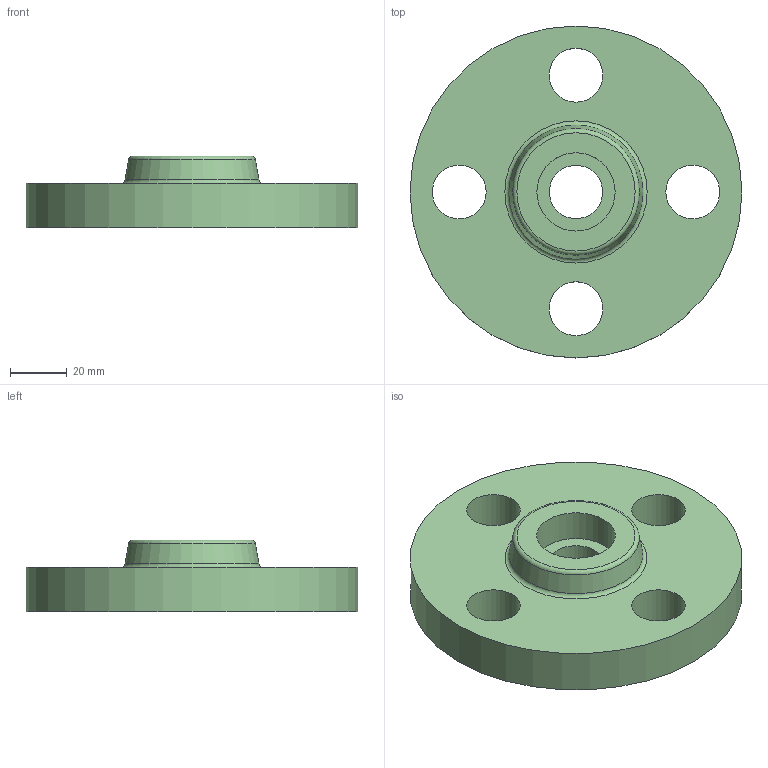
import cadquery as cq
import math

flange_diameter = 117.35
flange_thickness = 15.75
total_height = 25.4

bolt_circle_diameter = 82.55
bolt_hole_diameter = 19.05
bolt_hole_count = 4

hub_base_diameter = 47.75
hub_taper_degrees = 10.0
hub_root_fillet = 1.5
hub_top_fillet = 1.5

socket_diameter = 27.7
socket_depth = 11.1
bore_diameter = 18.85

hub_height = total_height - flange_thickness
hub_taper_inset = hub_height * math.tan(math.radians(hub_taper_degrees))
hub_top_diameter = hub_base_diameter - 2 * hub_taper_inset


def flange_plate():
    """Round plate with its underside on Z = 0."""
    return cq.Workplane("XY").circle(flange_diameter / 2).extrude(flange_thickness)


def tapered_hub():
    """Cone frustum from the plate up to the top of the part."""
    return (
        cq.Workplane("XY", origin=(0, 0, flange_thickness))
        .circle(hub_base_diameter / 2)
        .workplane(offset=hub_height)
        .circle(hub_top_diameter / 2)
        .loft()
    )


def filleted_body():
    """Plate and hub joined, with the hub rounded at its root and at its rim."""
    body = flange_plate().union(tapered_hub())
    body = body.faces(">Z").edges().fillet(hub_top_fillet)
    upper_plate_face = body.faces("|Z").faces(">Z[-2]")
    root_edge = upper_plate_face.edges(cq.selectors.RadiusNthSelector(0))
    return root_edge.fillet(hub_root_fillet)


def bolt_holes():
    """Through holes evenly spaced on the bolt circle, the first on +X."""
    return (
        cq.Workplane("XY")
        .polarArray(bolt_circle_diameter / 2, 0, 360, bolt_hole_count)
        .circle(bolt_hole_diameter / 2)
        .extrude(flange_thickness)
    )


def stepped_bore():
    """Through bore with a wider pipe socket opening at the top."""
    bore = cq.Workplane("XY").circle(bore_diameter / 2).extrude(total_height)
    socket = (
        cq.Workplane("XY", origin=(0, 0, total_height - socket_depth))
        .circle(socket_diameter / 2)
        .extrude(socket_depth)
    )
    return bore.union(socket)


result = filleted_body().cut(bolt_holes()).cut(stepped_bore())